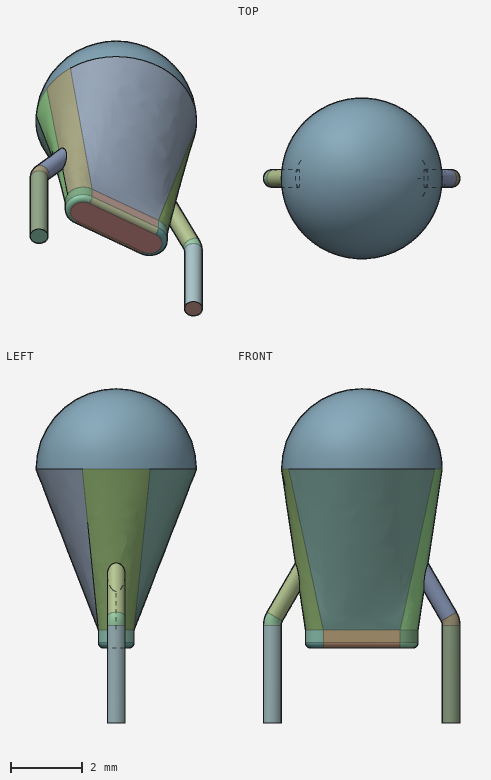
import cadquery as cq
import math

total_height = 9.35
head_diameter = 4.5
lead_diameter = 0.5
lead_pitch = 5.0
lead_drop = 2.1

foot_length = 3.15
foot_width = 1.0
foot_height = 0.5
foot_edge_radius = 0.15

bend_angle = 30.0
bend_radius = 0.5
bend_start_z = 0.63
lead_tip_x = 1.0

head_radius = head_diameter / 2
head_center_z = total_height - lead_drop - head_radius


def make_foot():
    """Oblong foot with a rounded bottom edge."""
    foot = cq.Workplane("XY").slot2D(foot_length, foot_width).extrude(foot_height)
    return foot.faces("<Z").edges().fillet(foot_edge_radius)


def make_taper():
    """Blend from the oblong foot up to the equator of the round head."""
    return (
        cq.Workplane("XY")
        .workplane(offset=foot_height)
        .slot2D(foot_length, foot_width)
        .workplane(offset=head_center_z - foot_height)
        .circle(head_radius)
        .loft(ruled=True)
    )


def make_head():
    """Upper half of a sphere."""
    return (
        cq.Workplane("XZ", origin=(0, 0, head_center_z))
        .lineTo(head_radius, 0)
        .threePointArc(
            (head_radius * math.sin(math.pi / 4), head_radius * math.cos(math.pi / 4)),
            (0, head_radius),
        )
        .close()
        .revolve(360, (0, 0), (0, 1))
    )


def make_lead(side):
    """Round wire, vertical below and leaning inward into the body; side is +1 or -1."""
    lean = math.radians(bend_angle)
    lead_x = lead_pitch / 2

    def point_on_bend(angle):
        x = lead_x - bend_radius * (1 - math.cos(angle))
        z = bend_start_z + bend_radius * math.sin(angle)
        return (side * x, z)

    bend_end = point_on_bend(lean)
    inward_run = abs(bend_end[0]) - lead_tip_x
    tip = (side * lead_tip_x, bend_end[1] + inward_run / math.tan(lean))
    path = (
        cq.Workplane("XZ")
        .moveTo(side * lead_x, -lead_drop)
        .lineTo(side * lead_x, bend_start_z)
        .threePointArc(point_on_bend(lean / 2), bend_end)
        .lineTo(*tip)
    )
    return (
        cq.Workplane("XY", origin=(side * lead_x, 0, -lead_drop))
        .circle(lead_diameter / 2)
        .sweep(path)
    )


result = make_foot().union(make_taper()).union(make_head())
for lead_side in (-1, 1):
    result = result.union(make_lead(lead_side))